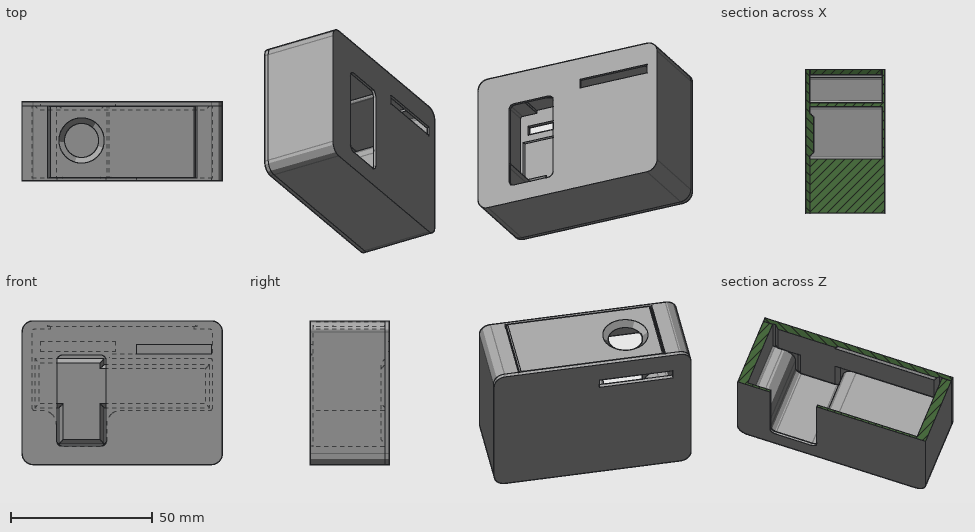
import cadquery as cq

LENGTH = 71.0
DEPTH = 28.1
HEIGHT = 51.0
OUTER_RADIUS = 4.0

FRONT_WALL = 1.0
SIDE_WALL = 3.6
TOP_WALL = 3.0
BACK_PLATE = 1.5
HOUSING_DEPTH = DEPTH - BACK_PLATE
CAVITY_DEPTH = HOUSING_DEPTH - FRONT_WALL

CAVITY_RIGHT = LENGTH - SIDE_WALL
CAVITY_TOP = HEIGHT - TOP_WALL
CAVITY_RADIUS = 0.7
SHELF_Z = 19.25
SHELF_RADIUS = 5.0
DIVIDER = 1.5
DIVIDER_TOP = 39.2
DIVIDER_BOTTOM = DIVIDER_TOP - DIVIDER
DIVIDER_END = 30.8
NOSE_RADIUS = DIVIDER / 2
NOSE_X = DIVIDER_END + NOSE_RADIUS

WINDOW_LEFT = 12.35
WINDOW_RIGHT = 29.8
WINDOW_BOTTOM = 6.7
WINDOW_TOP = 38.85
WINDOW_RADIUS = 2.0
CHANNEL_MARGIN = 0.2
CHANNEL_LEFT = WINDOW_LEFT - CHANNEL_MARGIN
CHANNEL_RIGHT = WINDOW_RIGHT + CHANNEL_MARGIN
CHANNEL_BOTTOM = WINDOW_BOTTOM - CHANNEL_MARGIN
CHANNEL_RADIUS = WINDOW_RADIUS + CHANNEL_MARGIN

SLOT_LENGTH = 26.55
SLOT_HEIGHT = 3.4
SLOT_RIGHT = 67.0
BACK_SLOT_RIGHT = 33.1
BACK_SLOT_RAISE = 1.0

BOSS_CLEARANCE = 0.9
BOSS_CHAMFER = 1.5
BOSS_RIM = 0.01
BOSS_STEP = 35.5
BOSS_TOP = 37.55

LID_THICKNESS = 2.0
OPENING_LENGTH = 53.0
LEDGE = 1.0
LID_END_GAP = 0.5
LID_SIDE_GAP = 0.25
LID_CHAMFER = 0.5
HOLE_X = (WINDOW_LEFT + WINDOW_RIGHT) / 2
HOLE_Y = 14.35
HOLE_DIAMETER = 12.1
COUNTERSINK_DIAMETER = HOLE_DIAMETER + 2 * LID_THICKNESS


def block(left, right, front, back, bottom, top):
    """Box given by its six limits."""
    size = (right - left, back - front, top - bottom)
    return cq.Workplane("XY").box(*size, centered=False).translate((left, front, bottom))


def chamber(left, right, bottom, top, radius):
    """Cavity space behind the front wall, rounded along Y."""
    space = block(left, right, FRONT_WALL, HOUSING_DEPTH, bottom, top)
    return space.edges("|Y").fillet(radius)


def shell_block(front, back):
    """Slice of the outer shape between two depths."""
    return block(0, LENGTH, front, back, 0, HEIGHT).edges("|Y").fillet(OUTER_RADIUS)


def make_cavity():
    upper = chamber(SIDE_WALL, CAVITY_RIGHT, DIVIDER_TOP, CAVITY_TOP, CAVITY_RADIUS)
    lower = chamber(SIDE_WALL, CAVITY_RIGHT, SHELF_Z, DIVIDER_BOTTOM, CAVITY_RADIUS)
    nose = (
        cq.Workplane("XZ", origin=(NOSE_X, FRONT_WALL, DIVIDER_TOP - NOSE_RADIUS))
        .circle(NOSE_RADIUS)
        .extrude(-CAVITY_DEPTH)
    )
    link = chamber(SIDE_WALL, NOSE_X, SHELF_Z, CAVITY_TOP, CAVITY_RADIUS).cut(nose)
    channel = chamber(CHANNEL_LEFT, CHANNEL_RIGHT, CHANNEL_BOTTOM, DIVIDER_BOTTOM, CHANNEL_RADIUS)
    cavity = upper.union(lower).union(link).union(channel)
    for x in (CHANNEL_LEFT, CHANNEL_RIGHT):
        shelf_edge = cq.selectors.NearestToPointSelector((x, HOUSING_DEPTH / 2, SHELF_Z))
        cavity = cavity.edges("|Y").edges(shelf_edge).fillet(SHELF_RADIUS)
    return cavity


def make_slot(right, bottom, front, back):
    return block(right - SLOT_LENGTH, right, front, back, bottom, bottom + SLOT_HEIGHT)


def make_lid_opening():
    left = (LENGTH - OPENING_LENGTH) / 2
    right = left + OPENING_LENGTH
    seat_z = HEIGHT - LID_THICKNESS
    seat = block(left, right, FRONT_WALL, HOUSING_DEPTH, seat_z, HEIGHT)
    throat = block(left + LEDGE, right - LEDGE, FRONT_WALL, HOUSING_DEPTH, CAVITY_TOP, seat_z)
    return seat.union(throat)


def make_housing():
    window = block(WINDOW_LEFT, WINDOW_RIGHT, 0, FRONT_WALL, WINDOW_BOTTOM, WINDOW_TOP)
    window = window.edges("|Y").fillet(WINDOW_RADIUS)
    return (
        shell_block(0, HOUSING_DEPTH)
        .cut(make_cavity())
        .cut(window)
        .cut(make_slot(SLOT_RIGHT, DIVIDER_TOP, 0, FRONT_WALL))
        .cut(make_lid_opening())
    )


def make_boss():
    """Boss that follows the lower cavity with clearance and narrows away from the plate."""
    left = SIDE_WALL + BOSS_CLEARANCE
    right = CAVITY_RIGHT - BOSS_CLEARANCE
    channel_left = CHANNEL_LEFT + BOSS_CLEARANCE
    channel_right = CHANNEL_RIGHT - BOSS_CLEARANCE
    bottom = CHANNEL_BOTTOM + BOSS_CLEARANCE
    shelf = SHELF_Z + BOSS_CLEARANCE
    outline = [
        (channel_left, bottom),
        (channel_right, bottom),
        (channel_right, shelf),
        (right, shelf),
        (right, BOSS_STEP),
        (channel_right, BOSS_STEP),
        (channel_right, BOSS_TOP),
        (left, BOSS_TOP),
        (left, shelf),
        (channel_left, shelf),
    ]
    return (
        cq.Workplane("XZ", origin=(0, HOUSING_DEPTH, 0))
        .polyline(outline)
        .close()
        .extrude(BOSS_CHAMFER + BOSS_RIM)
        .faces("<Y")
        .chamfer(BOSS_CHAMFER)
    )


def make_back_plate():
    slot = make_slot(BACK_SLOT_RIGHT, DIVIDER_TOP + BACK_SLOT_RAISE, HOUSING_DEPTH, DEPTH)
    return shell_block(HOUSING_DEPTH, DEPTH).union(make_boss()).cut(slot)


def make_lid():
    length = OPENING_LENGTH - 2 * LID_END_GAP
    left = (LENGTH - length) / 2
    seat_z = HEIGHT - LID_THICKNESS
    lid = block(
        left,
        left + length,
        FRONT_WALL + LID_SIDE_GAP,
        HOUSING_DEPTH - LID_SIDE_GAP,
        seat_z,
        HEIGHT,
    )
    lid = lid.faces(">Z").edges("|Y").chamfer(LID_CHAMFER)
    cone = cq.Solid.makeCone(
        HOLE_DIAMETER / 2,
        COUNTERSINK_DIAMETER / 2,
        LID_THICKNESS,
        pnt=cq.Vector(HOLE_X, HOLE_Y, seat_z),
    )
    return lid.cut(cq.Workplane(cone))


housing = make_housing()
back_plate = make_back_plate()
lid = make_lid()
result = cq.Compound.makeCompound([housing.val(), back_plate.val(), lid.val()])